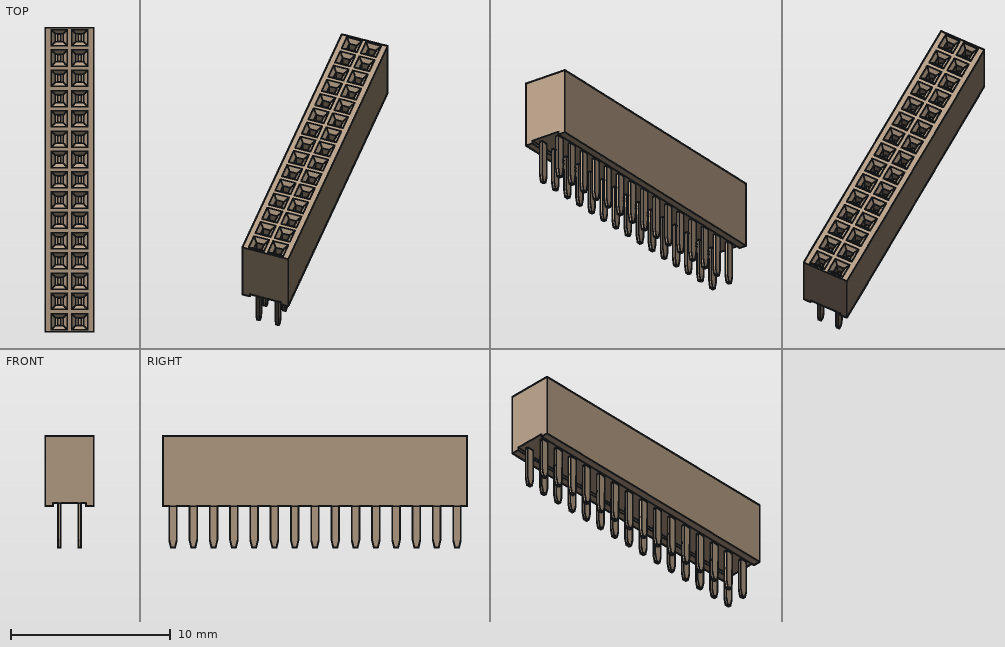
import cadquery as cq

LENGTH = 19.05
WIDTH = 3.05
TOTAL_HEIGHT = 7.0
BODY_HEIGHT = 4.4
CHANNEL_WIDTH = 2.04
CHANNEL_DEPTH = 0.2

ROWS = 15
COLUMNS = 2
PITCH = LENGTH / ROWS

PIN_THICKNESS = 0.2
PIN_WIDTH = 0.5
CONTACT_WIDTH = 0.42
TIP_WIDTH = 0.27
TIP_LENGTH = 0.48

MOUTH_SIZE = 1.01
THROAT_SIZE = 0.5
FUNNEL_DEPTH = (MOUTH_SIZE - THROAT_SIZE) / 2
HOLE_DEPTH = 1.52
CONTACT_RISE = 0.76

TOP_Z = BODY_HEIGHT
PIN_BOTTOM_Z = BODY_HEIGHT - TOTAL_HEIGHT
HOLE_FLOOR_Z = TOP_Z - HOLE_DEPTH


def make_housing():
    """Rectangular block with a channel along the underside."""
    block = cq.Workplane("XY").box(WIDTH, LENGTH, BODY_HEIGHT, centered=(True, True, False))
    channel = cq.Workplane("XY").box(CHANNEL_WIDTH, LENGTH, CHANNEL_DEPTH, centered=(True, True, False))
    return block.cut(channel)


def make_socket():
    """Cutter for one socket: tapered mouth above a straight square hole."""
    funnel = (
        cq.Workplane("XY", origin=(0, 0, TOP_Z))
        .rect(MOUTH_SIZE, MOUTH_SIZE)
        .workplane(offset=-FUNNEL_DEPTH)
        .rect(THROAT_SIZE, THROAT_SIZE)
        .loft(ruled=True)
    )
    hole = cq.Workplane("XY", origin=(0, 0, HOLE_FLOOR_Z)).rect(THROAT_SIZE, THROAT_SIZE)
    return funnel.union(hole.extrude(HOLE_DEPTH - FUNNEL_DEPTH))


def make_pin():
    """Blade with a tapered lower tip and a narrower contact rising into its socket."""
    half_width = PIN_WIDTH / 2
    half_contact = CONTACT_WIDTH / 2
    half_tip = TIP_WIDTH / 2
    shoulder_z = PIN_BOTTOM_Z + TIP_LENGTH
    contact_top_z = HOLE_FLOOR_Z + CONTACT_RISE
    return (
        cq.Workplane("YZ")
        .moveTo(-half_tip, PIN_BOTTOM_Z)
        .lineTo(half_tip, PIN_BOTTOM_Z)
        .lineTo(half_width, shoulder_z)
        .lineTo(half_width, HOLE_FLOOR_Z)
        .lineTo(half_contact, HOLE_FLOOR_Z)
        .lineTo(half_contact, contact_top_z)
        .lineTo(-half_contact, contact_top_z)
        .lineTo(-half_contact, HOLE_FLOOR_Z)
        .lineTo(-half_width, HOLE_FLOOR_Z)
        .lineTo(-half_width, shoulder_z)
        .close()
        .extrude(PIN_THICKNESS / 2, both=True)
    )


def at_contacts(shape):
    """Repeat a shape at every position of the contact grid."""
    grid = cq.Workplane("XY").rarray(PITCH, PITCH, COLUMNS, ROWS)
    return grid.eachpoint(lambda location: shape.val().moved(location))


result = make_housing().cut(at_contacts(make_socket())).union(at_contacts(make_pin()))